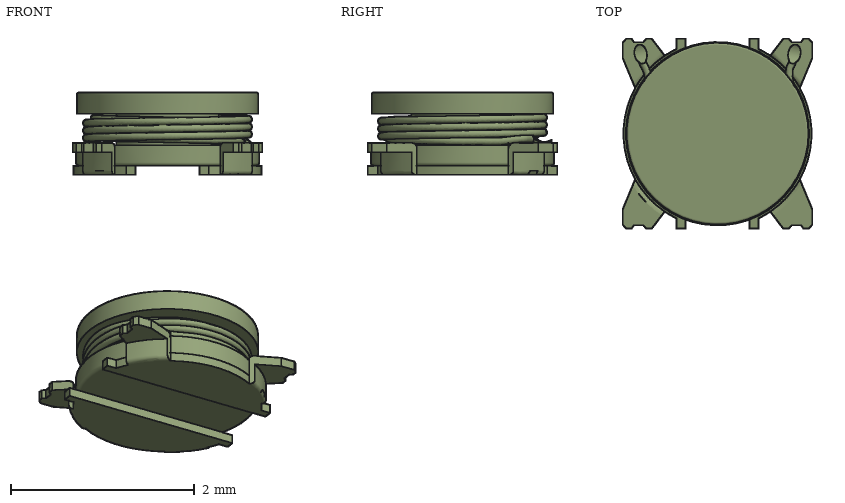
import cadquery as cq
import math


height = 0.90
cap_radius = 0.99
cap_underside = 0.667
cap_edge_fillet = 0.025
flange_radius = 1.0
flange_top = 0.325
flange_edge_fillet = 0.035
spindle_radius = 0.56

half_size = 1.035
plate_thickness = 0.10
plate_radius = 1.026
plate_inner_x = 0.348
tab_width = 0.10
leg_thickness = 0.05
leg_radius = plate_radius + leg_thickness
leg_foot_bend = 0.047
wing_underside = 0.245
wing_top = 0.35
wing_reach = 1.6
bend_radius = 0.065
curved_bend_start = 1.08
straight_bend_start = 1.059
bend_line_angle = 136.6
bend_line_length = 0.6

wire_radius = 0.0395
coil_clearance = 0.003
weld_clearance = 0.004
outer_coil_radius = 0.883
inner_coil_radius = 0.80
outer_pitch = 0.081
outer_start_angle = 154.5
outer_end_angle = 1170.0
inner_start_angle = 1225.0
inner_end_angle = 2160.0
coil_start_z = 0.398
coil_end_z = flange_top + wire_radius + coil_clearance
coil_top_z = coil_start_z + outer_pitch * (outer_end_angle - outer_start_angle) / 360
coil_step = 15.0

lead_z = wing_top + wire_radius + weld_clearance
lead_slope_step = 0.003
weld_x = 0.837
weld_y = 0.870
weld_length = 0.205
weld_width = 0.135
weld_angle = 101.0
weld_block_height = 0.10
scoop_radius = 0.15
scoop_bottom_z = wing_top + 0.008
scoop_offset = 0.022


def make_core():
    flange = (
        cq.Workplane("XY", origin=(0, 0, plate_thickness))
        .circle(flange_radius).extrude(flange_top - plate_thickness)
        .faces("<Z").edges().fillet(flange_edge_fillet)
    )
    cap = (
        cq.Workplane("XY", origin=(0, 0, cap_underside))
        .circle(cap_radius).extrude(height - cap_underside)
        .faces(">Z").edges().fillet(cap_edge_fillet)
    )
    spindle = (
        cq.Workplane("XY", origin=(0, 0, flange_top))
        .circle(spindle_radius).extrude(cap_underside - flange_top)
    )
    return flange.union(spindle).union(cap)


def make_base_plate():
    """Left segment of the base disc with its two tabs."""
    disc = cq.Workplane("XY").circle(plate_radius).extrude(plate_thickness)
    left_of_gap = (
        cq.Workplane("XY", origin=(-plate_inner_x, 0, 0))
        .rect(2 * half_size, 2 * half_size).extrude(plate_thickness)
        .translate((-half_size, 0, 0))
    )
    tabs = (
        cq.Workplane("XY", origin=(-plate_inner_x - tab_width / 2, 0, 0))
        .rect(tab_width, 2 * half_size).extrude(plate_thickness)
    )
    return disc.intersect(left_of_gap).union(tabs)


def wing_outline():
    """Plan of the rear left wing: splayed sides, clipped corners, notched tip."""
    return [
        (-0.880, 0.454),
        (-half_size, 0.827),
        (-half_size, 0.990),
        (-0.995, half_size),
        (-0.935, half_size),
        (-0.910, 0.998),
        (-0.810, 0.998),
        (-0.777, half_size),
        (-0.716, half_size),
        (-0.550, 0.817),
    ]


def make_wing_blank():
    """Leg and solder wing with a square inner top corner."""
    bend_setback = leg_foot_bend * (1 - math.sqrt(0.5))
    profile = (
        cq.Workplane("XZ")
        .moveTo(plate_radius, 0)
        .lineTo(leg_radius - leg_foot_bend, 0)
        .threePointArc((leg_radius - bend_setback, bend_setback), (leg_radius, leg_foot_bend))
        .lineTo(leg_radius, wing_underside)
        .lineTo(wing_reach, wing_underside)
        .lineTo(wing_reach, wing_top)
        .lineTo(plate_radius, wing_top)
        .close()
    )
    ring = profile.revolve(360, (0, 0, 0), (0, 1, 0))
    plan = cq.Workplane("XY").polyline(wing_outline()).close().extrude(wing_top)
    return ring.intersect(plan)


def bend_waste(workplane, start):
    """Sketch of the corner outside a top bend that is tangent to the wing top at start."""
    setback = bend_radius * (1 - math.sqrt(0.5))
    return (
        workplane
        .moveTo(start, wing_top)
        .threePointArc(
            (start - bend_radius + setback, wing_top - setback),
            (start - bend_radius, wing_top - bend_radius),
        )
        .lineTo(start - bend_radius, wing_top)
        .close()
    )


def make_rear_wing():
    waste = (
        bend_waste(cq.Workplane("XZ"), straight_bend_start)
        .extrude(bend_line_length / 2, both=True)
        .rotate((0, 0, 0), (0, 0, 1), bend_line_angle)
    )
    return make_wing_blank().cut(waste)


def make_front_wing():
    waste = bend_waste(cq.Workplane("XZ"), curved_bend_start).revolve(360, (0, 0, 0), (0, 1, 0))
    return make_wing_blank().cut(waste).mirror("XZ")


def make_left_terminal():
    return make_base_plate().union(make_rear_wing()).union(make_front_wing())


def polar_point(radius, angle, z):
    turn = math.radians(angle)
    return cq.Vector(radius * math.cos(turn), radius * math.sin(turn), z)


def coil_point(angle):
    """Wire centre: outer layer climbing, crossover under the cap, inner layer descending."""
    if angle <= outer_end_angle:
        rise = (angle - outer_start_angle) / 360 * outer_pitch
        return polar_point(outer_coil_radius, angle, coil_start_z + rise)
    if angle <= inner_start_angle:
        share = (angle - outer_end_angle) / (inner_start_angle - outer_end_angle)
        blend = (1 - math.cos(math.pi * share)) / 2
        radius = outer_coil_radius + blend * (inner_coil_radius - outer_coil_radius)
        return polar_point(radius, angle, coil_top_z)
    share = (angle - inner_start_angle) / (inner_end_angle - inner_start_angle)
    return polar_point(inner_coil_radius, angle, coil_top_z + share * (coil_end_z - coil_top_z))


def place_at_weld(shape, side):
    """Move a shape built along +X at the origin to a weld; side is -1 left, +1 right."""
    angle = weld_angle if side < 0 else 180 - weld_angle
    return shape.rotate((0, 0, 0), (0, 0, 1), angle).translate((side * weld_x, weld_y, 0))


def make_weld(side):
    """Flattened wire end on a rear wing, before the weld scoop."""
    block = (
        cq.Workplane("XY", origin=(0, 0, wing_top))
        .ellipse(weld_length / 2, weld_width / 2)
        .extrude(weld_block_height)
    )
    return place_at_weld(block, side)


def make_scoop(side):
    """Cylinder lying across the wire end that presses the hollow into the weld."""
    cylinder = (
        cq.Workplane("XZ", origin=(scoop_offset, 0, scoop_bottom_z + scoop_radius))
        .circle(scoop_radius).extrude(weld_width, both=True)
    )
    return place_at_weld(cylinder, side)


def make_winding():
    left_lead = [
        cq.Vector(-0.827, 0.830, lead_z),
        cq.Vector(-0.812, 0.768, lead_z),
        cq.Vector(-0.783, 0.708, lead_z),
        cq.Vector(-0.757, 0.620, lead_z),
        cq.Vector(-0.769, 0.500, lead_z + lead_slope_step),
    ]
    right_lead = [
        cq.Vector(0.800, 0.200, coil_end_z),
        cq.Vector(0.795, 0.420, coil_end_z),
        cq.Vector(0.782, 0.620, lead_z - lead_slope_step),
        cq.Vector(0.785, 0.708, lead_z),
        cq.Vector(0.812, 0.768, lead_z),
        cq.Vector(0.827, 0.830, lead_z),
    ]
    steps = round((inner_end_angle - outer_start_angle) / coil_step)
    step = (inner_end_angle - outer_start_angle) / steps
    coil = [coil_point(outer_start_angle + i * step) for i in range(steps + 1)]
    path_points = left_lead + coil + right_lead

    path = cq.Workplane(cq.Edge.makeSpline(path_points))
    start_direction = path_points[1] - path_points[0]
    start_plane = cq.Plane(path_points[0], xDir=(0, 0, 1), normal=start_direction)
    winding = cq.Workplane(start_plane).circle(wire_radius).sweep(path)
    for side in (-1, 1):
        scoop = make_scoop(side)
        weld = make_weld(side).cut(scoop)
        winding = winding.cut(scoop).union(weld)
    return winding


core = make_core()
left_terminal = make_left_terminal()
right_terminal = left_terminal.mirror("YZ")
winding = make_winding()

result = cq.Compound.makeCompound(
    [core.val(), left_terminal.val(), right_terminal.val(), winding.val()]
)